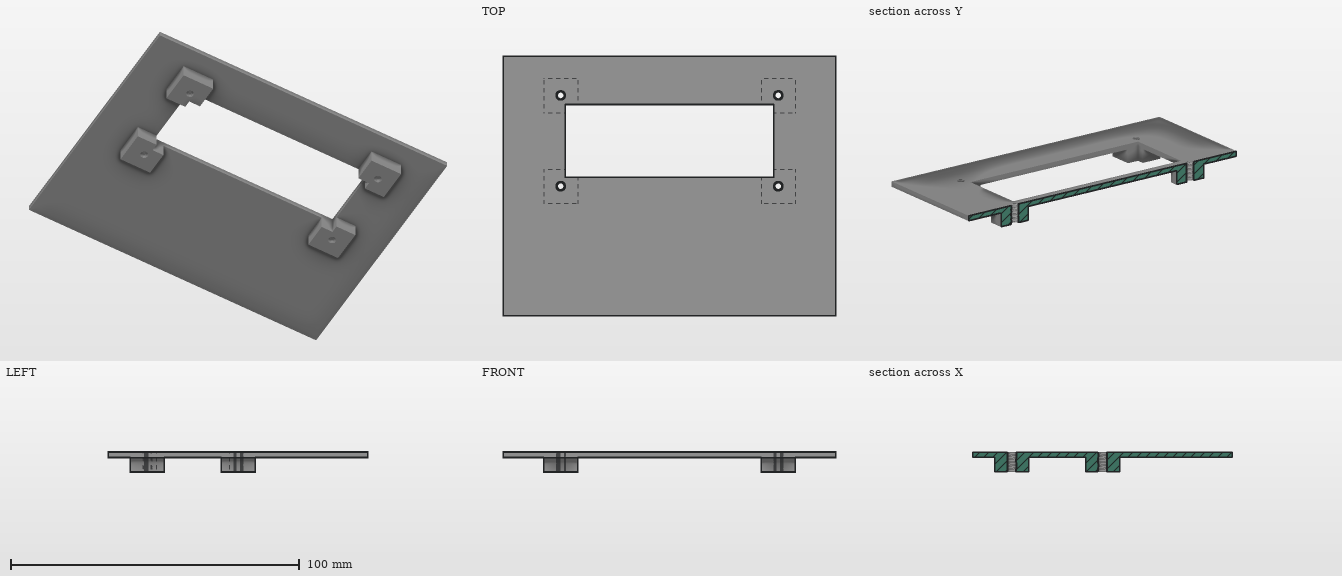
import cadquery as cq

plate_length = 115.2
plate_width = 90.0
plate_thickness = 2.0

window_length = 72.1
window_width = 25.1
window_center_y = 15.7

hole_spacing_x = 75.3
hole_spacing_y = 31.5
boss_side = 11.9
boss_height = 5.1

thread_minor_diameter = 2.5
thread_major_diameter = 3.1
thread_pitch = 0.5
thread_start_angle = 200.0
crest_flat = thread_pitch / 4
root_flat = thread_pitch / 8
core_overlap = 0.06

total_height = plate_thickness + boss_height
hole_centers = [
    (side * hole_spacing_x / 2, window_center_y + end * hole_spacing_y / 2)
    for side in (-1, 1)
    for end in (-1, 1)
]


def make_plate():
    return cq.Workplane("XY").rect(plate_length, plate_width).extrude(-plate_thickness)


def make_bosses():
    return (
        cq.Workplane("XY", origin=(0, 0, -total_height))
        .pushPoints(hole_centers)
        .rect(boss_side, boss_side)
        .extrude(boss_height)
    )


def make_window_cutter():
    """Opening through the full height, which trims the inner corner off every boss."""
    return (
        cq.Workplane("XY", origin=(0, window_center_y, -total_height))
        .rect(window_length, window_width)
        .extrude(total_height)
    )


def make_threaded_hole_cutter():
    """Threaded hole on the Z axis: a minor-diameter core plus a right-hand helical V groove.

    The helix runs one pitch past both ends and is trimmed to the height of the hole.
    """
    minor_radius = thread_minor_diameter / 2
    major_radius = thread_major_diameter / 2
    inner_radius = minor_radius - core_overlap
    flank_slope = (thread_pitch - crest_flat - root_flat) / 2 / (major_radius - minor_radius)
    half_root = root_flat / 2
    half_mouth = half_root + flank_slope * (major_radius - inner_radius)
    helix = cq.Wire.makeHelix(thread_pitch, total_height + 2 * thread_pitch, minor_radius)
    groove = (
        cq.Workplane("XZ")
        .polyline([
            (inner_radius, -half_mouth),
            (major_radius, -half_root),
            (major_radius, half_root),
            (inner_radius, half_mouth),
        ])
        .close()
        .sweep(cq.Workplane(obj=helix), isFrenet=True)
    )
    placed_groove = (
        groove.rotate((0, 0, 0), (0, 0, 1), thread_start_angle)
        .translate((0, 0, -total_height - thread_pitch))
    )
    hole_space = cq.Workplane("XY").circle(thread_major_diameter).extrude(-total_height)
    core = cq.Workplane("XY").circle(thread_minor_diameter / 2).extrude(-total_height)
    return core.union(placed_groove.intersect(hole_space))


result = make_plate().union(make_bosses()).cut(make_window_cutter())
threaded_hole = make_threaded_hole_cutter()
for x, y in hole_centers:
    result = result.cut(threaded_hole.translate((x, y, 0)))